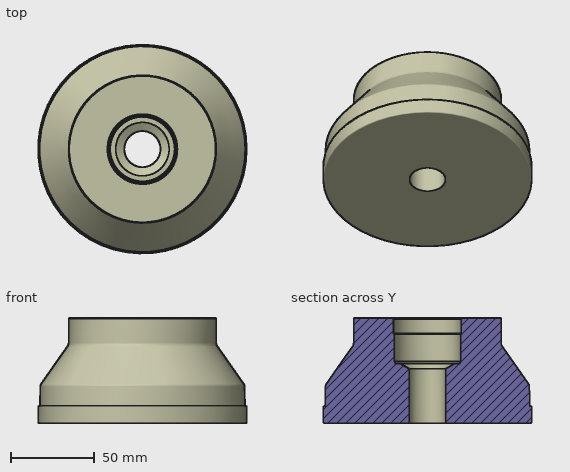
import cadquery as cq

total_height = 63.0
flange_height = 10.4
shoulder_height = 22.9
neck_base_height = 47.0

flange_radius = 62.5
body_base_radius = 61.5
shoulder_radius = 61.1
neck_radius = 44.2

flange_round = 0.8
shoulder_round = 2.2
neck_root_round = 2.8
neck_top_chamfer = 0.5

bore_entry_radius = 20.2
bore_entry_depth = 9.2
bore_entry_chamfer = 0.8
bore_radius = 19.8
bore_depth = 27.4
bore_floor_radius = 19.2
bore_floor_recess = 1.1

hole_radius = 10.8
countersink_radius = 16.0
countersink_depth = 3.0


def circle_edges_at(height, radius):
    """Select circular edges centred on the axis at a height and radius."""
    margin = 0.06
    reach = radius + margin
    return cq.selectors.BoxSelector(
        (-reach, -reach, height - margin), (reach, reach, height + margin), boundingbox=True
    )


def make_body():
    """Revolve the flange, drum, cone and neck, then ease the outer edges."""
    body = (
        cq.Workplane("XZ")
        .moveTo(0, 0)
        .lineTo(flange_radius, 0)
        .lineTo(flange_radius, flange_height)
        .lineTo(body_base_radius, flange_height)
        .lineTo(shoulder_radius, shoulder_height)
        .lineTo(neck_radius, neck_base_height)
        .lineTo(neck_radius, total_height)
        .lineTo(0, total_height)
        .close()
        .revolve(360, (0, 0, 0), (0, 1, 0))
    )
    body = body.edges(circle_edges_at(neck_base_height, neck_radius)).fillet(neck_root_round)
    body = body.edges(circle_edges_at(shoulder_height, shoulder_radius)).fillet(shoulder_round)
    body = body.faces("<Z").edges().fillet(flange_round)
    flange_rim = circle_edges_at(flange_height, flange_radius) - circle_edges_at(
        flange_height, body_base_radius
    )
    body = body.edges(flange_rim).fillet(flange_round)
    return body.faces(">Z").edges().chamfer(neck_top_chamfer)


def make_bore():
    """Revolve the space taken by the stepped bore and countersunk hole."""
    floor = total_height - bore_depth
    step = total_height - bore_entry_depth
    step_width = bore_entry_radius - bore_radius
    floor_step_width = bore_radius - bore_floor_radius
    return (
        cq.Workplane("XZ")
        .moveTo(0, 0)
        .lineTo(hole_radius, 0)
        .lineTo(hole_radius, floor - countersink_depth)
        .lineTo(countersink_radius, floor)
        .lineTo(bore_floor_radius, floor)
        .lineTo(bore_floor_radius, floor + bore_floor_recess)
        .lineTo(bore_radius, floor + bore_floor_recess + floor_step_width)
        .lineTo(bore_radius, step - step_width)
        .lineTo(bore_entry_radius, step)
        .lineTo(bore_entry_radius, total_height - bore_entry_chamfer)
        .lineTo(bore_entry_radius + bore_entry_chamfer, total_height)
        .lineTo(0, total_height)
        .close()
        .revolve(360, (0, 0, 0), (0, 1, 0))
    )


result = make_body().cut(make_bore())